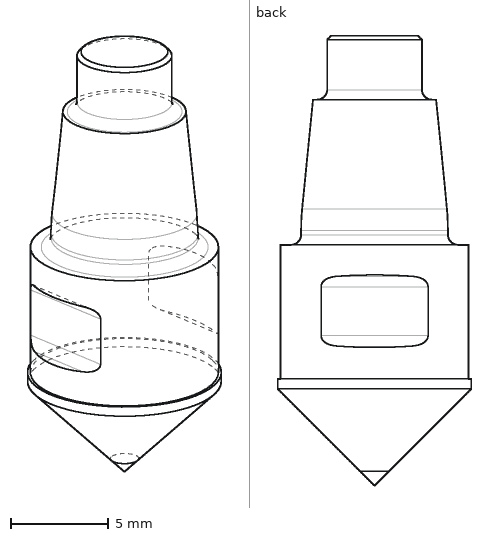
import cadquery as cq
import math

total_height = 23.2

flange_radius = 10.0 / 2
cone_height = flange_radius
tip_height = 0.75
tip_radius = tip_height * flange_radius / cone_height
flange_thickness = 0.5
flange_top = cone_height + flange_thickness

barrel_radius = 9.7 / 2
barrel_height = 6.91
barrel_top = flange_top + barrel_height

neck_radius = 7.59 / 2
step_fillet = 0.5
neck_cylinder_top = 13.18
taper_start = 14.3
taper_top = 19.9
taper_top_radius = 3.18

spigot_radius = 4.9 / 2
spigot_chamfer = 0.2

flat_distance = 4.0
flat_middle = 9.0
flat_floor_half_height = 1.72
flat_wall_angle = 10.0
flat_fillet = 0.55


def concave_fillet_middle(wall_radius, ledge_height, fillet):
    """Point halfway along a fillet between a cylinder and the ledge at its foot."""
    inset = fillet * (1 - math.sqrt(0.5))
    return wall_radius + inset, ledge_height + inset


def blend_radius_at(height):
    """Radius on the arc that is tangent to the neck cylinder and meets the taper tangentially."""
    blend_height = taper_start - neck_cylinder_top
    lean = math.atan((neck_radius - taper_top_radius) / (taper_top - neck_cylinder_top - blend_height / 2))
    arc_radius = blend_height / math.sin(lean)
    rise = height - neck_cylinder_top
    return neck_radius - arc_radius + math.sqrt(arc_radius**2 - rise**2)


def make_turned_blank():
    """Revolved body from the tip joint up to the spigot."""
    blend_middle = (neck_cylinder_top + taper_start) / 2
    return (
        cq.Workplane("XZ")
        .moveTo(0, tip_height)
        .lineTo(tip_radius, tip_height)
        .lineTo(flange_radius, cone_height)
        .lineTo(flange_radius, flange_top)
        .lineTo(barrel_radius, flange_top)
        .lineTo(barrel_radius, barrel_top)
        .lineTo(neck_radius + step_fillet, barrel_top)
        .threePointArc(
            concave_fillet_middle(neck_radius, barrel_top, step_fillet),
            (neck_radius, barrel_top + step_fillet),
        )
        .lineTo(neck_radius, neck_cylinder_top)
        .threePointArc(
            (blend_radius_at(blend_middle), blend_middle),
            (blend_radius_at(taper_start), taper_start),
        )
        .lineTo(taper_top_radius, taper_top)
        .lineTo(spigot_radius + step_fillet, taper_top)
        .threePointArc(
            concave_fillet_middle(spigot_radius, taper_top, step_fillet),
            (spigot_radius, taper_top + step_fillet),
        )
        .lineTo(spigot_radius, total_height - spigot_chamfer)
        .lineTo(spigot_radius - spigot_chamfer, total_height)
        .lineTo(0, total_height)
        .close()
        .revolve(360, (0, 0, 0), (0, 1, 0))
    )


def make_flat_cutter(side):
    """Trough with sloping walls and rounded floor corners; side is +1 or -1 along Y."""
    cut_depth = flange_radius - flat_distance
    mouth_half_height = flat_floor_half_height + cut_depth * math.tan(math.radians(flat_wall_angle))
    floor_y = side * flat_distance
    mouth_y = side * flange_radius
    return (
        cq.Workplane("YZ")
        .polyline(
            [
                (floor_y, flat_middle - flat_floor_half_height),
                (floor_y, flat_middle + flat_floor_half_height),
                (mouth_y, flat_middle + mouth_half_height),
                (mouth_y, flat_middle - mouth_half_height),
            ]
        )
        .close()
        .extrude(flange_radius, both=True)
        .faces("<Y" if side > 0 else ">Y")
        .edges("|X")
        .fillet(flat_fillet)
    )


def make_holder():
    """Turned holder with its two wrench flats."""
    holder = make_turned_blank()
    for side in (-1, 1):
        holder = holder.cut(make_flat_cutter(side))
    return holder


def make_tip():
    """Small pointed cone that continues the holder's cone down to the apex."""
    return cq.Workplane(cq.Solid.makeCone(0, tip_radius, tip_height))


holder = make_holder()
tip = make_tip()

result = cq.Compound.makeCompound([holder.solids().val(), tip.val()])